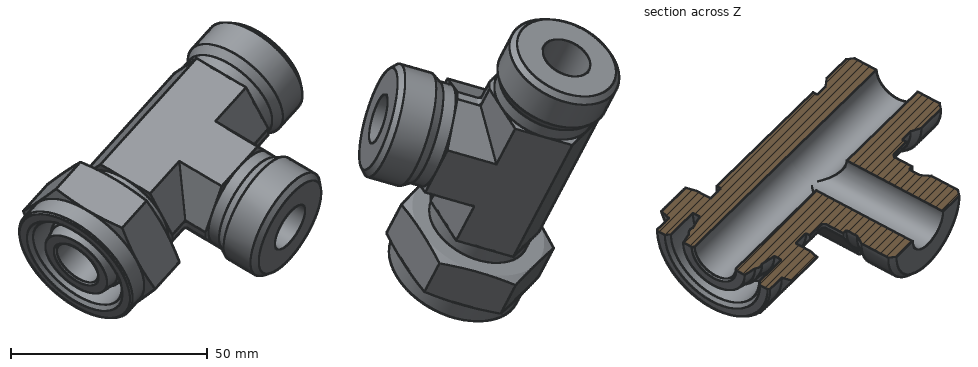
import cadquery as cq
import math


body_flats = 27.0
body_width = 29.6
body_back = 21.0
body_front = 20.4
branch_body_end = 21.15
corner_fillet = 1.0

port_reach = 37.0
thread_dia = 30.0
thread_length = 10.0
thread_chamfer = 1.5
runout_length = 2.5

overall_length = 79.2
nut_flats = 36.0
nut_depth = 17.5
collar_length = 5.5
collar_dia = 35.8
collar_chamfer = 0.5
hex_chamfer_angle = 15.0
mouth_dia = 30.1
nut_bore_dia = 27.9

cone_half_angle = 12.0
cone_recess = 0.6
cone_tip_dia = 19.5
cone_root_dia = 23.7
ring_start = 3.4
ring_width = 2.4
ring_bulge = 0.4

bore_dia = 13.0
bore_chamfer = 0.55

cone_slope = math.tan(math.radians(cone_half_angle))
nut_face = overall_length - port_reach
nut_back = nut_face - nut_depth
hex_front = nut_face - collar_length
cone_tip = nut_face - cone_recess


def revolve_on_axis(points):
    """Turn an (axial distance, radius) outline, closed on the axis, about X."""
    return cq.Workplane("XY").polyline(points).close().revolve(360, (0, 0, 0), (1, 0, 0))


def toward_plus_y(solid):
    return solid.rotate((0, 0, 0), (0, 0, 1), 90)


def toward_minus_y(solid):
    return solid.rotate((0, 0, 0), (0, 0, 1), -90)


def hex_bar(flats, start, end):
    """Hexagonal bar along X with two flats facing up and down."""
    across_corners = 2 * flats / math.sqrt(3)
    return cq.Workplane("YZ", origin=(start, 0, 0)).polygon(6, across_corners).extrude(end - start)


def body_bar(start, end):
    """Hexagonal bar along X with its two side corners flattened."""
    envelope = cq.Workplane("XY").box(2 * (end - start), body_width, body_flats)
    envelope = envelope.translate((start, 0, 0))
    return hex_bar(body_flats, start, end).intersect(envelope)


def inner_corner_fillet(side):
    """Concave web between the flattened corners, on the +Y (1) or -Y (-1) side of the branch."""
    half = body_width / 2
    half_height = (body_flats / math.sqrt(3) - half) * math.sqrt(3)
    far = half + corner_fillet
    middle = far - corner_fillet / math.sqrt(2)
    return (
        cq.Workplane("XY")
        .moveTo(half, side * half)
        .lineTo(far, side * half)
        .threePointArc((middle, side * middle), (half, side * far))
        .close()
        .extrude(half_height, both=True)
    )


def make_body():
    run = toward_plus_y(body_bar(-body_front, body_back))
    body = run.union(body_bar(0, branch_body_end))
    for side in (1, -1):
        body = body.union(inner_corner_fillet(side))
    return body


def make_male_port():
    """Neck, run-out cone and chamfered thread cylinder along +X."""
    thread_start = port_reach - thread_length
    return revolve_on_axis([
        (0, 0),
        (0, body_flats / 2),
        (thread_start - runout_length, body_flats / 2),
        (thread_start, thread_dia / 2),
        (port_reach - thread_chamfer, thread_dia / 2),
        (port_reach, thread_dia / 2 - thread_chamfer),
        (port_reach, 0),
    ])


def make_nut_outside():
    """Nut along +X: hexagon with both ends chamfered, then the round collar."""
    corner_reach = nut_flats / math.sqrt(3)
    start_radius = nut_flats / 2
    chamfer_length = (corner_reach - start_radius) * math.tan(math.radians(hex_chamfer_angle))
    chamfer_envelope = revolve_on_axis([
        (nut_back, 0),
        (nut_back, start_radius),
        (nut_back + chamfer_length, corner_reach),
        (hex_front - chamfer_length, corner_reach),
        (hex_front, start_radius),
        (hex_front, 0),
    ])
    hexagon = hex_bar(nut_flats, nut_back, hex_front).intersect(chamfer_envelope)
    collar = revolve_on_axis([
        (nut_back, 0),
        (nut_back, collar_dia / 2),
        (nut_face - collar_chamfer, collar_dia / 2),
        (nut_face, collar_dia / 2 - collar_chamfer),
        (nut_face, 0),
    ])
    return hexagon.union(collar)


def make_nut_cavity():
    """Space inside the nut around the sealing cone; its floor lies at the root of the cone."""
    tip_radius = cone_tip_dia / 2
    root_radius = cone_root_dia / 2
    floor = cone_tip - (root_radius - tip_radius) / cone_slope
    mouth_chamfer = (mouth_dia - nut_bore_dia) / 2

    def on_cone(distance, height=0):
        return (cone_tip - distance, tip_radius + distance * cone_slope + height)

    return (
        cq.Workplane("XY")
        .moveTo(nut_face, 0)
        .lineTo(cone_tip, 0)
        .lineTo(cone_tip, tip_radius)
        .lineTo(*on_cone(ring_start))
        .threePointArc(on_cone(ring_start + ring_width / 2, ring_bulge), on_cone(ring_start + ring_width))
        .lineTo(floor, root_radius)
        .lineTo(floor, nut_bore_dia / 2)
        .lineTo(nut_face - mouth_chamfer, nut_bore_dia / 2)
        .lineTo(nut_face, mouth_dia / 2)
        .close()
        .revolve(360, (0, 0, 0), (1, 0, 0))
    )


def make_swivel_end():
    """Neck, nut and sealing cone along +X."""
    neck = cq.Workplane("YZ").circle(body_flats / 2).extrude(nut_back)
    return neck.union(make_nut_outside()).cut(make_nut_cavity())


def make_bore(length):
    return cq.Workplane("YZ").circle(bore_dia / 2).extrude(length)


def make_cone_bore():
    """Bore along +X that opens with a chamfer at the cone tip."""
    radius = bore_dia / 2
    return revolve_on_axis([
        (0, 0),
        (0, radius),
        (cone_tip - bore_chamfer, radius),
        (cone_tip, radius + bore_chamfer),
        (cone_tip, 0),
    ])


port = make_male_port()
port_bore = make_bore(port_reach)

result = (
    make_body()
    .union(port)
    .union(toward_plus_y(port))
    .union(toward_minus_y(make_swivel_end()))
    .cut(port_bore)
    .cut(toward_plus_y(port_bore))
    .cut(toward_minus_y(make_cone_bore()))
)